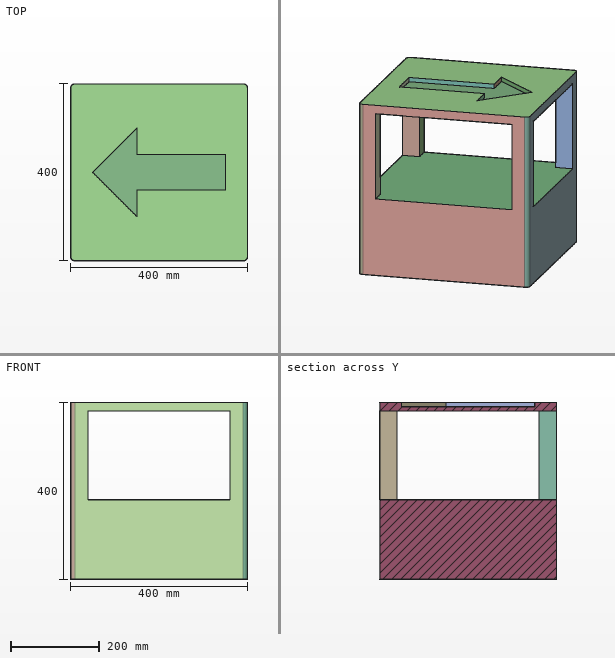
import cadquery as cq

side = 400.0
corner_radius = 10.0

post_width = 40.0
roof_thickness = 20.0
window_height = 200.0
window_width = side - 2 * post_width
window_bottom = side - roof_thickness - window_height

arrow_length = 300.0
arrow_head_length = 100.0
arrow_head_width = 200.0
arrow_shaft_width = 80.0
arrow_depth = 10.0


def rounded_cube():
    cube = cq.Workplane("XY").box(side, side, side, centered=(True, True, False))
    return cube.edges("|Z").fillet(corner_radius)


def window_cut(length_x, length_y):
    opening = cq.Workplane("XY").workplane(offset=window_bottom)
    return opening.box(length_x, length_y, window_height, centered=(True, True, False))


def arrow_cut():
    tip_x = -arrow_length / 2
    tail_x = arrow_length / 2
    neck_x = tip_x + arrow_head_length
    head_y = arrow_head_width / 2
    shaft_y = arrow_shaft_width / 2
    outline = [
        (tip_x, 0),
        (neck_x, head_y),
        (neck_x, shaft_y),
        (tail_x, shaft_y),
        (tail_x, -shaft_y),
        (neck_x, -shaft_y),
        (neck_x, -head_y),
    ]
    floor = cq.Workplane("XY").workplane(offset=side - arrow_depth)
    return floor.polyline(outline).close().extrude(arrow_depth)


result = (
    rounded_cube()
    .cut(window_cut(side, window_width))
    .cut(window_cut(window_width, side))
    .cut(arrow_cut())
)